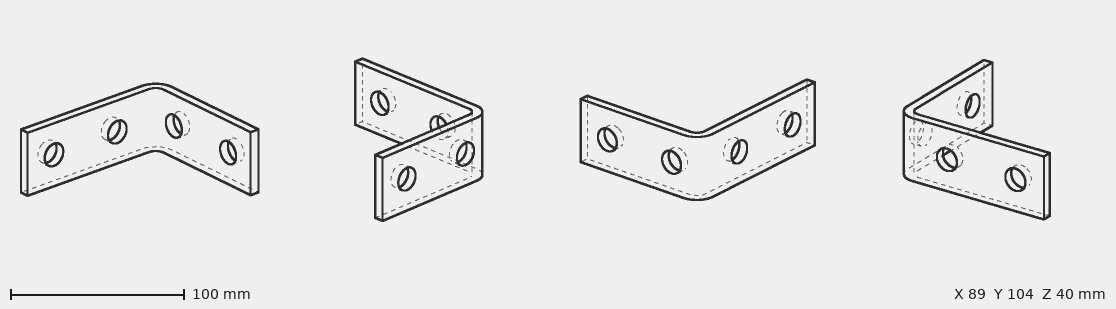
import cadquery as cq

length_x = 89.0
length_y = 104.0
width = 40.0
thickness = 6.0
outer_radius = 12.0
inner_radius = outer_radius - thickness
hole_diameter = 14.0
hole_end_distance = 20.0
hole_spacing = 48.0


def bent_strip():
    """L-shaped strip with its outer corner at x = 0, y = length_y."""
    outer = cq.Workplane("XY").rect(length_x, length_y, centered=False).extrude(width)
    outer = outer.edges("|Z and <X and >Y").fillet(outer_radius)
    inner = (
        cq.Workplane("XY")
        .center(thickness, 0)
        .rect(length_x - thickness, length_y - thickness, centered=False)
        .extrude(width)
        .edges("|Z and <X and >Y")
        .fillet(inner_radius)
    )
    return outer.cut(inner)


def hole_cutter(center, axis):
    """Cylinder starting at center, long enough to pass through one leg."""
    return cq.Workplane(
        cq.Solid.makeCylinder(hole_diameter / 2, thickness, cq.Vector(*center), cq.Vector(*axis))
    )


result = bent_strip()
for hole_index in range(2):
    end_offset = hole_end_distance + hole_index * hole_spacing
    long_leg_hole = hole_cutter((0, end_offset, width / 2), (1, 0, 0))
    short_leg_hole = hole_cutter((length_x - end_offset, length_y, width / 2), (0, -1, 0))
    result = result.cut(long_leg_hole).cut(short_leg_hole)